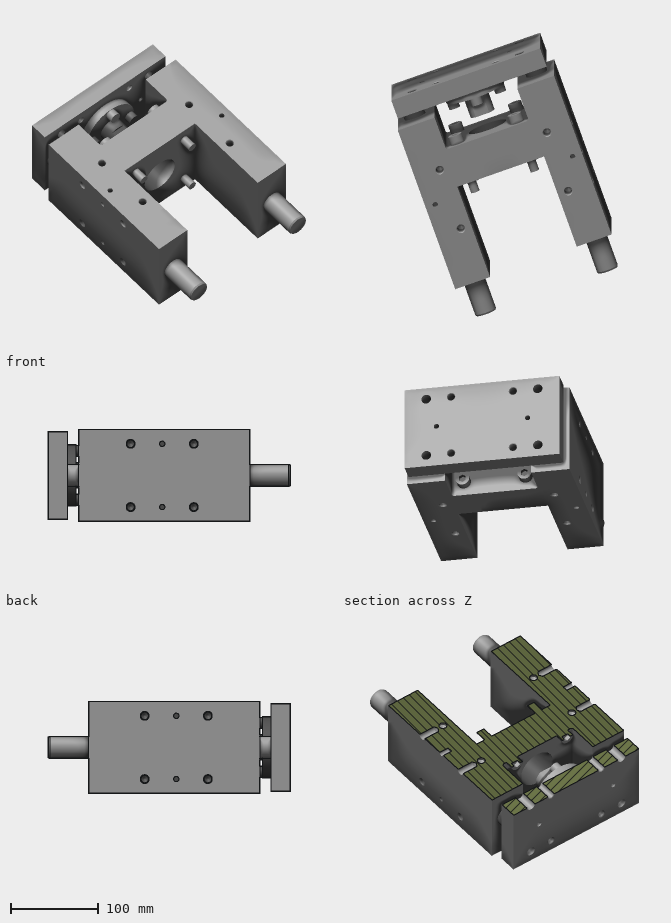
import cadquery as cq

TOTAL_LENGTH = 276.0

PLATE_THICKNESS = 22.4
PLATE_WIDTH = 180.0
PLATE_HEIGHT = 100.0
PLATE_LARGE_HOLE_DIAMETER = 11.0
PLATE_LARGE_HOLE_Y = 64.9
PLATE_SCREW_HOLE_DIAMETER = 8.5
PLATE_SCREW_HOLE_MOUTH = 10.0
PLATE_DOWEL_DIAMETER = 6.0
PLATE_DOWEL_Y = 53.0

ROD_DIAMETER = 25.0
ROD_Y = 73.7
ROD_END_CHAMFER_LENGTH = 2.0
ROD_END_CHAMFER_DEPTH = 0.8

FLANGE_DIAMETER = 70.0
FLANGE_THICKNESS = 9.7
COUPLING_DIAMETER = 29.0
COUPLING_LENGTH = 25.0
FLAT_LENGTH = 12.0
FLAT_SPACING = 24.0
FLANGE_SCREW_DIAMETER = 13.0
FLANGE_SCREW_HEIGHT = 8.8
FLANGE_SCREW_CIRCLE_RADIUS = 28.0

HOUSING_START = 34.8
HOUSING_LENGTH = 195.0
HOUSING_WIDTH = 189.0
HOUSING_HEIGHT = 105.0
FRONT_RECESS_WIDTH = 100.0
REAR_RECESS_WIDTH = 105.0
BRIDGE_START = 74.0
BRIDGE_THICKNESS = 45.0
RECESS_FILLET = 3.0
CYLINDER_BORE_DIAMETER = 45.0

HOLE_PITCH = 72.0
HOLE_ROW_CENTRE_X = 130.0
TAPPED_DIAMETER = 8.5
TAPPED_MOUTH = 10.0
TAPPED_DEPTH = 20.0
TAPPED_TIP_HEIGHT = 2.5
DOWEL_DIAMETER = 6.0
DOWEL_DEPTH = 12.0
TOP_TAPPED_Y = 64.9
TOP_DOWEL_Y = 83.0

MOUNT_HEAD_DIAMETER = 16.0
MOUNT_HEAD_HEIGHT = 10.0
MOUNT_SHANK_DIAMETER = 10.2
MOUNT_SHANK_PROJECTION = 15.0
MOUNT_SOCKET_FLATS = 8.0
MOUNT_SOCKET_DEPTH = 5.0

HALF_PITCH = HOLE_PITCH / 2
BRIDGE_END = BRIDGE_START + BRIDGE_THICKNESS
HOUSING_END = HOUSING_START + HOUSING_LENGTH
FLANGE_END = PLATE_THICKNESS + FLANGE_THICKNESS
COUPLING_END = FLANGE_END + COUPLING_LENGTH
CORNER_POINTS = [(y, z) for y in (-HALF_PITCH, HALF_PITCH) for z in (-HALF_PITCH, HALF_PITCH)]


def box_from(x, length, width, height):
    """Block that starts at x, centred on Y and Z."""
    return cq.Workplane("XY").box(length, width, height, centered=(False, True, True)).translate((x, 0, 0))


def rods_along_x(x, points, diameter, length):
    """Cylinders that start at x and run toward +X from the given (y, z) points."""
    return cq.Workplane("YZ", origin=(x, 0, 0)).pushPoints(points).circle(diameter / 2).extrude(length)


def countersunk_cutter(depth, diameter, mouth_diameter):
    """Cutter that enters along +Z from the origin, with a 45 degree mouth."""
    radius = diameter / 2
    mouth_radius = mouth_diameter / 2
    mouth = cq.Solid.makeCone(mouth_radius, radius, mouth_radius - radius)
    return cq.Solid.makeCylinder(radius, depth).fuse(mouth)


def make_rod(y):
    """Guide rod whose free end is chamfered."""
    radius = ROD_DIAMETER / 2
    return (
        cq.Workplane("XY")
        .moveTo(PLATE_THICKNESS, 0)
        .lineTo(PLATE_THICKNESS, radius)
        .lineTo(TOTAL_LENGTH - ROD_END_CHAMFER_LENGTH, radius)
        .lineTo(TOTAL_LENGTH, radius - ROD_END_CHAMFER_DEPTH)
        .lineTo(TOTAL_LENGTH, 0)
        .close()
        .revolve(360, (0, 0, 0), (1, 0, 0))
        .translate((0, y, 0))
    )


def make_coupling():
    """Flange with its four screw heads and the coupling with two wrench flats."""
    flange = rods_along_x(PLATE_THICKNESS, [(0, 0)], FLANGE_DIAMETER, FLANGE_THICKNESS)
    stub = rods_along_x(FLANGE_END, [(0, 0)], COUPLING_DIAMETER, COUPLING_LENGTH)
    flat_start = COUPLING_END - FLAT_LENGTH
    wrench_zone = box_from(flat_start, FLAT_LENGTH, COUPLING_DIAMETER, COUPLING_DIAMETER)
    kept_zone = box_from(flat_start, FLAT_LENGTH, COUPLING_DIAMETER, FLAT_SPACING)
    stub = stub.cut(wrench_zone.cut(kept_zone))
    radius = FLANGE_SCREW_CIRCLE_RADIUS
    screw_points = [(radius, 0), (-radius, 0), (0, radius), (0, -radius)]
    screws = rods_along_x(FLANGE_END, screw_points, FLANGE_SCREW_DIAMETER, FLANGE_SCREW_HEIGHT)
    return flange.union(stub).union(screws)


def make_slide():
    """Moving body: front plate, guide rods, flange and coupling."""
    slide = box_from(0, PLATE_THICKNESS, PLATE_WIDTH, PLATE_HEIGHT)

    large_points = [(side * PLATE_LARGE_HOLE_Y, z) for side in (-1, 1) for z in (-HALF_PITCH, HALF_PITCH)]
    slide = slide.cut(rods_along_x(0, large_points, PLATE_LARGE_HOLE_DIAMETER, PLATE_THICKNESS))

    dowel_points = [(-PLATE_DOWEL_Y, 0), (PLATE_DOWEL_Y, 0)]
    slide = slide.cut(rods_along_x(0, dowel_points, PLATE_DOWEL_DIAMETER, PLATE_THICKNESS))

    screw_hole = countersunk_cutter(PLATE_THICKNESS, PLATE_SCREW_HOLE_DIAMETER, PLATE_SCREW_HOLE_MOUTH)
    for y, z in CORNER_POINTS:
        slide = slide.cut(screw_hole.rotate((0, 0, 0), (0, 1, 0), 90).translate((0, y, z)))

    slide = slide.union(make_coupling())
    for y in (-ROD_Y, ROD_Y):
        slide = slide.union(make_rod(y))
    return slide


def make_housing_block():
    """H-shaped block with the rod bores and the cylinder bore."""
    block = box_from(HOUSING_START, HOUSING_LENGTH, HOUSING_WIDTH, HOUSING_HEIGHT)
    front_recess = box_from(HOUSING_START, BRIDGE_START - HOUSING_START, FRONT_RECESS_WIDTH, HOUSING_HEIGHT)
    block = block.cut(front_recess.edges("|Z and >X").fillet(RECESS_FILLET))
    block = block.cut(box_from(BRIDGE_END, HOUSING_END - BRIDGE_END, REAR_RECESS_WIDTH, HOUSING_HEIGHT))
    rod_points = [(-ROD_Y, 0), (ROD_Y, 0)]
    block = block.cut(rods_along_x(HOUSING_START, rod_points, ROD_DIAMETER, HOUSING_LENGTH))
    return block.cut(rods_along_x(BRIDGE_START, [(0, 0)], CYLINDER_BORE_DIAMETER, BRIDGE_THICKNESS))


def cut_outer_holes(block):
    """Tapped and dowel holes in the four long outer faces."""
    tip = cq.Solid.makeCone(TAPPED_DIAMETER / 2, 0, TAPPED_TIP_HEIGHT, cq.Vector(0, 0, TAPPED_DEPTH))
    tapped = countersunk_cutter(TAPPED_DEPTH, TAPPED_DIAMETER, TAPPED_MOUTH).fuse(tip)
    dowel = cq.Solid.makeCylinder(DOWEL_DIAMETER / 2, DOWEL_DEPTH)
    tapped_x = [HOLE_ROW_CENTRE_X - HALF_PITCH, HOLE_ROW_CENTRE_X + HALF_PITCH]
    for face in (-1, 1):
        side_angle = face * 90
        side_y = face * HOUSING_WIDTH / 2
        top_angle = 90 + face * 90
        top_z = face * HOUSING_HEIGHT / 2
        for side in (-1, 1):
            side_z = side * HALF_PITCH
            places = [(tapped, x, side * TOP_TAPPED_Y) for x in tapped_x]
            places.append((dowel, HOLE_ROW_CENTRE_X, side * TOP_DOWEL_Y))
            for cutter, x, top_y in places:
                into_side = cutter.rotate((0, 0, 0), (1, 0, 0), side_angle)
                into_top = cutter.rotate((0, 0, 0), (1, 0, 0), top_angle)
                block = block.cut(into_side.translate((x, side_y, side_z)))
                block = block.cut(into_top.translate((x, top_y, top_z)))
    return block


def make_housing():
    """Fixed body: the block and the cylinder mounting screws in its bridge."""
    housing = cut_outer_holes(make_housing_block())
    head_start = BRIDGE_START - MOUNT_HEAD_HEIGHT
    heads = rods_along_x(head_start, CORNER_POINTS, MOUNT_HEAD_DIAMETER, MOUNT_HEAD_HEIGHT)
    hexagon = cq.Workplane("YZ", origin=(head_start, 0, 0)).polygon(6, MOUNT_SOCKET_FLATS, circumscribed=True)
    socket = hexagon.extrude(MOUNT_SOCKET_DEPTH)
    for y, z in CORNER_POINTS:
        heads = heads.cut(socket.translate((0, y, z)))
    shanks = rods_along_x(BRIDGE_END, CORNER_POINTS, MOUNT_SHANK_DIAMETER, MOUNT_SHANK_PROJECTION)
    return housing.union(heads).union(shanks)


slide = make_slide().solids()
housing = make_housing().solids()
result = cq.Compound.makeCompound([slide.val(), housing.val()])